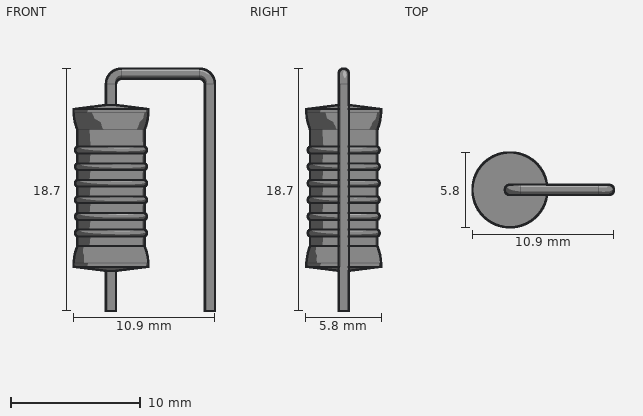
import cadquery as cq

lead_diameter = 0.8
lead_radius = lead_diameter / 2
overall_width = 10.92
overall_height = 18.7
bend_radius = 0.8

body_diameter = 5.22
body_radius = body_diameter / 2
rim_radius = 2.9
body_bottom = 3.1
body_top = 15.9
cone_height = 0.32
rim_height = 0.28
flare_height = 1.3
flare_bulge = 0.05

lead_spacing = overall_width - rim_radius - lead_radius

ring_count = 6
lowest_ring_z = 6.02
highest_ring_z = 12.42
ring_pitch = (highest_ring_z - lowest_ring_z) / (ring_count - 1)
ring_section_radius = 0.28
ring_projection = 0.17


def make_body():
    """Barrel with flared ends, short cylindrical rims and shallow conical caps."""
    lower_rim = body_bottom + cone_height
    lower_flare = lower_rim + rim_height
    lower_neck = lower_flare + flare_height
    upper_rim = body_top - cone_height
    upper_flare = upper_rim - rim_height
    upper_neck = upper_flare - flare_height
    flare_mid_radius = (body_radius + rim_radius) / 2 + flare_bulge
    return (
        cq.Workplane("XZ")
        .moveTo(0, body_bottom)
        .lineTo(lead_radius, body_bottom)
        .lineTo(rim_radius, lower_rim)
        .lineTo(rim_radius, lower_flare)
        .threePointArc((flare_mid_radius, lower_flare + flare_height / 2), (body_radius, lower_neck))
        .lineTo(body_radius, upper_neck)
        .threePointArc((flare_mid_radius, upper_flare - flare_height / 2), (rim_radius, upper_flare))
        .lineTo(rim_radius, upper_rim)
        .lineTo(lead_radius, body_top)
        .lineTo(0, body_top)
        .close()
        .revolve(360, (0, 0, 0), (0, 1, 0))
    )


def make_ring(center_z):
    """Outer half of a torus, partly sunk into the barrel wall."""
    center_radius = body_radius + ring_projection - ring_section_radius
    return (
        cq.Workplane("XZ")
        .moveTo(center_radius, center_z - ring_section_radius)
        .threePointArc(
            (body_radius + ring_projection, center_z),
            (center_radius, center_z + ring_section_radius),
        )
        .close()
        .revolve(360, (0, 0, 0), (0, 1, 0))
    )


def make_lead():
    """Round wire swept along the bent centreline."""
    bridge_z = overall_height - lead_radius
    path = (
        cq.Workplane("XZ")
        .moveTo(0, 0)
        .lineTo(0, bridge_z - bend_radius)
        .tangentArcPoint((bend_radius, bridge_z), relative=False)
        .lineTo(lead_spacing - bend_radius, bridge_z)
        .tangentArcPoint((lead_spacing, bridge_z - bend_radius), relative=False)
        .lineTo(lead_spacing, 0)
    )
    return cq.Workplane("XY").circle(lead_radius).sweep(path)


result = make_body()
for index in range(ring_count):
    result = result.union(make_ring(lowest_ring_z + index * ring_pitch))
result = result.union(make_lead())